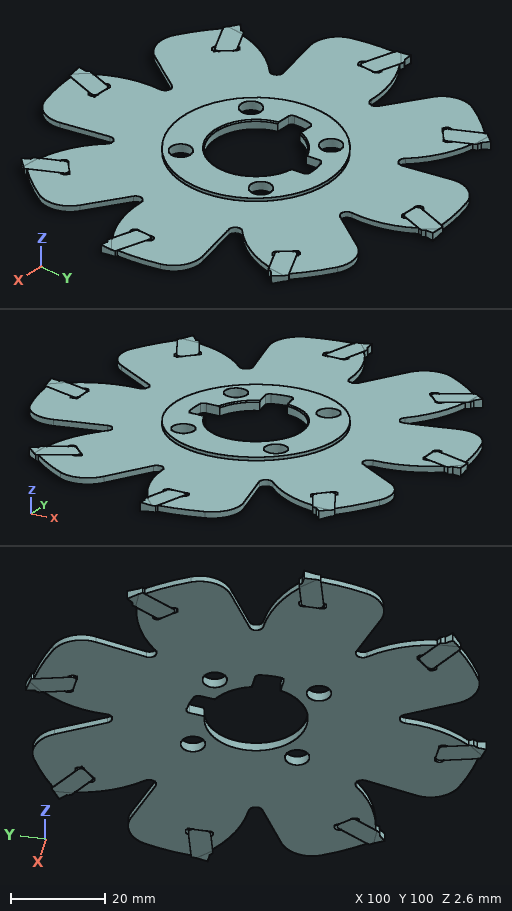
import cadquery as cq
import math

tooth_count = 8
tip_radius = 50.0
rim_radius = 49.2
plate_thickness = 1.5
hub_diameter = 40.0
hub_height = 0.8

bore_diameter = 22.0
bore_chamfer = 0.3
keyway_width = 6.2
keyway_reach = 15.1
keyway_corner_radius = 1.0
keyway_angles = (99.0, 180.0)

drive_hole_diameter = 5.2
drive_hole_circle_diameter = 32.0
drive_hole_count = 4

root_radius = 1.5
root_x = 6.5
root_y = 31.4
rake_radius = 25.0
back_angle = 31.3
nose_radius = 7.0

seat_y = 40.1
seat_left_x = -6.4
seat_width = 4.9
insert_lean = 16.0
insert_corner_radius = 1.0
heel_y = 49.6
shoulder_y = 47.2
relief_y = 48.0
tip_overhang = 0.3
crease_outer_x = -2.6
crease_outer_y = 49.6
crease_angle = 132.0
relief_hole_radius = 1.0
relief_hole_y = 41.0
relief_hole_xs = (-5.7, -1.75)

half_plate = plate_thickness / 2
hub_top = half_plate + hub_height
half_tip = half_plate + tip_overhang
lean_slope = math.tan(math.radians(insert_lean))
seat_right_x = seat_left_x + seat_width
tooth_angles = [360.0 / tooth_count * i for i in range(tooth_count)]
outside_radius = tip_radius + 2.0


def left_side_x(y):
    """X of the insert's trailing side at height y."""
    return seat_left_x + (y - seat_y) * lean_slope


def right_side_x(y):
    """X of the insert's leading side at height y."""
    return left_side_x(y) + seat_width


def turned(body, angle):
    return body.rotate((0, 0, 0), (0, 0, 1), angle)


def make_gullet():
    """Cutter for the gap between one tooth and the next one clockwise."""
    lean = math.radians(back_angle)
    along = (math.sin(lean), math.cos(lean))
    across = (math.cos(lean), -math.sin(lean))

    offset = root_radius + nose_radius
    base_x = root_x + offset * across[0]
    base_y = root_y + offset * across[1]
    nose_orbit = rim_radius - nose_radius
    projection = base_x * along[0] + base_y * along[1]
    travel = -projection + math.sqrt(projection**2 - base_x**2 - base_y**2 + nose_orbit**2)
    nose_x = base_x + travel * along[0]
    nose_y = base_y + travel * along[1]
    nose_direction = math.atan2(nose_y, nose_x)

    def root_point(angle):
        return (root_x + root_radius * math.cos(angle), root_y + root_radius * math.sin(angle))

    def nose_point(angle):
        return (nose_x + nose_radius * math.cos(angle), nose_y + nose_radius * math.sin(angle))

    def outward(angle):
        return (outside_radius * math.cos(angle), outside_radius * math.sin(angle))

    rake_x = root_x - root_radius - rake_radius
    rake_sweep = math.asin((tip_radius - root_y) / rake_radius)

    def rake_point(angle):
        return (rake_x + rake_radius * math.cos(angle), root_y + rake_radius * math.sin(angle))

    rake_end = rake_point(rake_sweep)
    back_start = -lean
    nose_start = math.pi - lean
    return (
        cq.Workplane("XY")
        .workplane(offset=-half_plate)
        .moveTo(*rake_end)
        .threePointArc(rake_point(rake_sweep / 2), root_point(math.pi))
        .threePointArc(root_point((back_start - math.pi) / 2), root_point(back_start))
        .lineTo(*nose_point(nose_start))
        .threePointArc(nose_point((nose_start + nose_direction) / 2), nose_point(nose_direction))
        .lineTo(*outward(nose_direction))
        .lineTo(*outward(math.atan2(rake_end[1], rake_end[0])))
        .close()
        .extrude(plate_thickness)
    )


def make_pocket():
    """Cutter for one insert seat, open at the rim, with its corner reliefs."""
    pocket = (
        cq.Workplane("XY")
        .workplane(offset=-half_plate)
        .polyline([
            (seat_left_x, seat_y),
            (seat_right_x, seat_y),
            (right_side_x(outside_radius), outside_radius),
            (left_side_x(outside_radius), outside_radius),
        ])
        .close()
        .extrude(plate_thickness)
    )
    reliefs = (
        cq.Workplane("XY")
        .workplane(offset=-half_plate)
        .pushPoints([(x, relief_hole_y) for x in relief_hole_xs])
        .circle(relief_hole_radius)
        .extrude(plate_thickness)
    )
    return pocket.union(reliefs)


def make_keyway(angle):
    """Cutter for one keyway with a floor concentric to the bore."""
    height = half_plate + hub_top
    keyway = (
        cq.Workplane("XY")
        .workplane(offset=-half_plate)
        .rect(2 * outside_radius, keyway_width)
        .extrude(height)
        .intersect(cq.Workplane("XY").workplane(offset=-half_plate).circle(keyway_reach).extrude(height))
        .edges("|Z")
        .fillet(keyway_corner_radius)
    )
    outer_half = (
        cq.Workplane("XY")
        .workplane(offset=-half_plate)
        .rect(outside_radius, keyway_width)
        .extrude(height)
        .translate((outside_radius / 2, 0, 0))
    )
    return turned(keyway.intersect(outer_half), angle)


def make_cutter_body():
    """Toothed plate with its raised hub, bore, keyways and drive holes."""
    body = (
        cq.Workplane("XY")
        .workplane(offset=-half_plate)
        .circle(rim_radius)
        .extrude(plate_thickness)
        .faces(">Z")
        .workplane()
        .circle(hub_diameter / 2)
        .extrude(hub_height)
    )
    body = body.faces(">Z").workplane().hole(bore_diameter)
    body = body.faces(">Z").edges("%CIRCLE").edges(cq.selectors.RadiusNthSelector(0)).chamfer(bore_chamfer)
    body = (
        body.faces(">Z")
        .workplane()
        .polarArray(drive_hole_circle_diameter / 2, 180.0 / drive_hole_count, 360, drive_hole_count)
        .hole(drive_hole_diameter)
    )
    for angle in keyway_angles:
        body = body.cut(make_keyway(angle))

    gullet = make_gullet()
    pocket = make_pocket()
    for angle in tooth_angles:
        body = body.cut(turned(gullet, angle))
        body = body.cut(turned(pocket, angle))
    return body


def make_insert():
    """Cutting insert: a flat shank whose tip flares beyond both plate faces."""
    blank = (
        cq.Workplane("XY")
        .workplane(offset=-half_tip)
        .polyline([
            (seat_left_x, seat_y),
            (seat_right_x, seat_y),
            (right_side_x(shoulder_y), shoulder_y),
            (0, relief_y),
            (0, tip_radius),
            (left_side_x(heel_y), heel_y),
        ])
        .close()
        .extrude(2 * half_tip)
        .edges("|Z and <Y")
        .fillet(insert_corner_radius)
    )

    crease = math.radians(crease_angle)
    flare_normal = (math.sin(crease), -math.cos(crease))
    flare_length = -crease_outer_x * flare_normal[0] + (tip_radius - crease_outer_y) * flare_normal[1]
    profile_plane = cq.Plane(
        origin=(crease_outer_x, crease_outer_y, 0),
        xDir=(flare_normal[0], flare_normal[1], 0),
        normal=(math.cos(crease), math.sin(crease), 0),
    )
    envelope = (
        cq.Workplane(profile_plane)
        .polyline([
            (-tip_radius, -half_plate),
            (0, -half_plate),
            (flare_length, -half_tip),
            (flare_length, half_tip),
            (0, half_plate),
            (-tip_radius, half_plate),
        ])
        .close()
        .extrude(tip_radius, both=True)
    )
    return blank.intersect(envelope)


cutter_body = make_cutter_body()
insert = make_insert()
inserts = [turned(insert, angle) for angle in tooth_angles]

result = cq.Compound.makeCompound([cutter_body.val(), *[body.val() for body in inserts]])